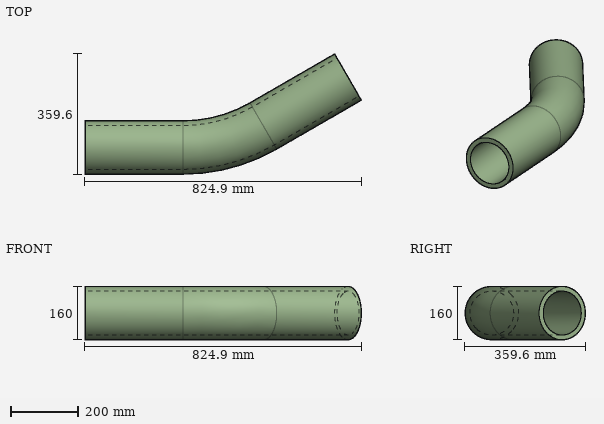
import cadquery as cq
import math

outer_diameter = 160.0
bore_diameter = 131.0
leg_length = 292.0
bend_radius = 3 * outer_diameter
bend_angle = 30.0


def bend_point(angle_degrees):
    """Point on the bend centreline after turning by the given angle."""
    angle = math.radians(angle_degrees)
    x = leg_length + bend_radius * math.sin(angle)
    y = bend_radius * (1 - math.cos(angle))
    return x, y


bend_middle = bend_point(bend_angle / 2)
bend_end = bend_point(bend_angle)
outlet_direction = math.radians(bend_angle)
outlet_end = (
    bend_end[0] + leg_length * math.cos(outlet_direction),
    bend_end[1] + leg_length * math.sin(outlet_direction),
)
centreline = (
    cq.Workplane("XY")
    .lineTo(leg_length, 0)
    .threePointArc(bend_middle, bend_end)
    .lineTo(*outlet_end)
)

result = (
    cq.Workplane("YZ")
    .circle(outer_diameter / 2)
    .circle(bore_diameter / 2)
    .sweep(centreline)
)